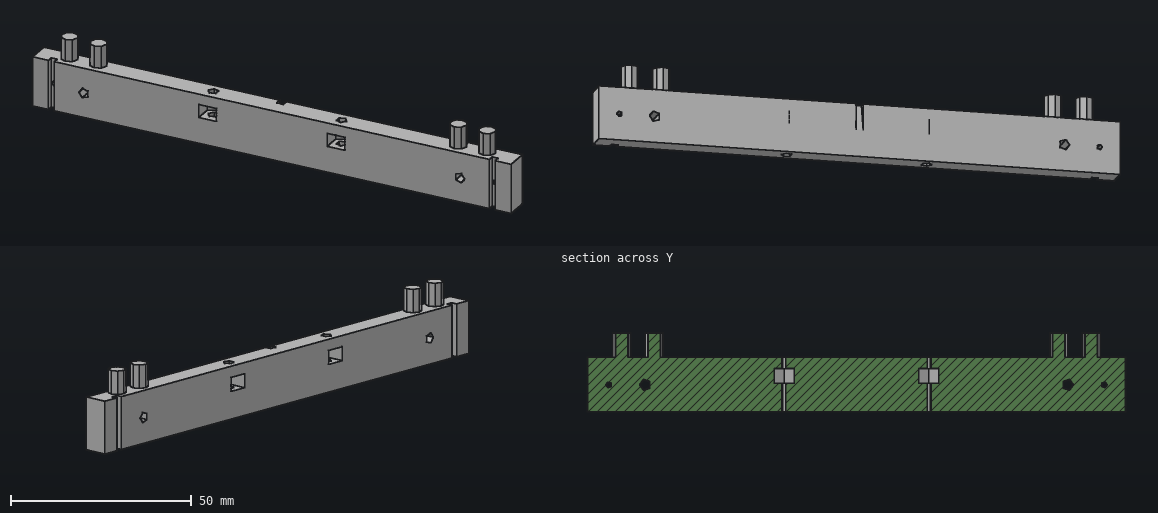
import cadquery as cq
import math

bar_length = 149.0
bar_depth = 7.0
bar_height = 15.2
overall_height = 21.9
mid_x = bar_length / 2
mid_y = bar_depth / 2

peg_diameter = 5.0
peg_sides = 8
peg_height = overall_height - bar_height
peg_pitch = 9.0
peg_end_distance = 9.5
peg_y = 4.1

groove_end_distance = 5.0
groove_width = 1.8
groove_depth = 1.8

hole_sides = 5

cross_hole_z = 7.5
mount_hole_diameter = 3.0
mount_hole_end_distance = 16.0
groove_hole_diameter = 1.5
groove_hole_end_distance = groove_end_distance + groove_width / 2

screw_spacing = 40.0
screw_hole_diameter = 3.0
nut_across_flats = 5.5
nut_slot_height = 4.0
nut_slot_bottom = 8.0
hexagon_half_angle = math.radians(30)

notch_width = 2.0
notch_depth = 2.0
notch_floor_angle = 15.0
notch_height = notch_depth / math.tan(math.radians(notch_floor_angle))


def mirrored(end_distance):
    """X positions at the given distance from both ends of the bar."""
    return (end_distance, bar_length - end_distance)


def box(x_center, y_min, z_min, width, depth, height):
    """Block centred on x_center, with its front face at y_min and its underside at z_min."""
    return (
        cq.Workplane("XY", origin=(x_center, y_min, z_min))
        .box(width, depth, height, centered=(True, False, False))
    )


def peg(x):
    """Octagonal peg with a corner pointing along +X."""
    return cq.Workplane("XY", origin=(x, peg_y, bar_height)).polygon(peg_sides, peg_diameter).extrude(peg_height)


def pentagon_hole(plane, origin, diameter, length):
    """Five-sided prism whose leading corner points towards the nearer end of the bar."""
    hole = cq.Workplane(plane, origin=origin).polygon(hole_sides, diameter).extrude(length)
    if origin[0] < mid_x:
        hole = hole.mirror("YZ", origin)
    return hole


def cross_hole(x, diameter):
    """Hole through the bar from front to back."""
    return pentagon_hole("XZ", (x, 0, cross_hole_z), diameter, -bar_depth)


def screw_hole(x):
    """Hole through the bar from top to underside."""
    return pentagon_hole("XY", (x, mid_y, 0), screw_hole_diameter, bar_height)


def nut_slot(x):
    """Slot open to the front, ending in the pointed half of a hexagon around the screw hole."""
    half_width = nut_across_flats / 2
    corner_y = mid_y + half_width * math.tan(hexagon_half_angle)
    tip_y = mid_y + half_width / math.cos(hexagon_half_angle)
    return (
        cq.Workplane("XY", origin=(x, 0, nut_slot_bottom))
        .polyline([
            (-half_width, 0),
            (half_width, 0),
            (half_width, corner_y),
            (0, tip_y),
            (-half_width, corner_y),
        ])
        .close()
        .extrude(nut_slot_height)
    )


def rear_notch():
    """Wedge cut from the rear face, deepest at the top face."""
    return (
        cq.Workplane("YZ", origin=(mid_x - notch_width / 2, 0, 0))
        .polyline([
            (bar_depth - notch_depth, bar_height),
            (bar_depth, bar_height),
            (bar_depth, bar_height - notch_height),
        ])
        .close()
        .extrude(notch_width)
    )


result = box(mid_x, 0, 0, bar_length, bar_depth, bar_height)

for end_distance in (peg_end_distance, peg_end_distance + peg_pitch):
    for x in mirrored(end_distance):
        result = result.union(peg(x))

for x in mirrored(groove_hole_end_distance):
    result = result.cut(box(x, 0, 0, groove_width, groove_depth, bar_height))
    result = result.cut(cross_hole(x, groove_hole_diameter))

for x in mirrored(mount_hole_end_distance):
    result = result.cut(cross_hole(x, mount_hole_diameter))

for x in (mid_x - screw_spacing / 2, mid_x + screw_spacing / 2):
    result = result.cut(screw_hole(x))
    result = result.cut(nut_slot(x))

result = result.cut(rear_notch())